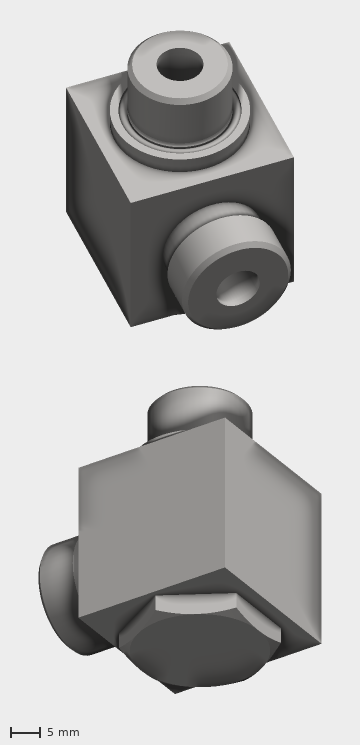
import cadquery as cq
import math

BODY_SIDE = 30.0
HALF_BODY = BODY_SIDE / 2

HEX_FLATS = 24.0
HEX_HEIGHT = 4.0
HEX_CHAMFER_ANGLE = 30.0

TOTAL_HEIGHT = 48.0
FLANGE_DIAMETER = 24.0
FLANGE_HEIGHT = 3.0
STUD_DIAMETER = 18.0
STUD_ROOT_DIAMETER = 16.2
STUD_CHAMFER = 0.8

GROOVE_DIAMETER = 21.0
GROOVE_INNER_DIAMETER = STUD_DIAMETER
SEAL_THICKNESS = (GROOVE_DIAMETER - GROOVE_INNER_DIAMETER) / 2

PORT_LENGTH = 12.0
PORT_NECK_DIAMETER = 18.15
PORT_NECK_LENGTH = 3.5
PORT_DIAMETER = 20.0
PORT_CHAMFER = 0.8

BORE_DIAMETER = 8.0

FLANGE_TOP = HALF_BODY + FLANGE_HEIGHT
STUD_TOP = TOTAL_HEIGHT - HEX_HEIGHT - HALF_BODY
PORT_END = HALF_BODY + PORT_LENGTH


def make_hex_head():
    """Hexagon with flats facing +X and -X and its lower corners chamfered by a cone."""
    corner_radius = HEX_FLATS / math.sqrt(3)
    prism = (
        cq.Workplane("XY", origin=(0, 0, -HALF_BODY))
        .polygon(6, 2 * corner_radius)
        .extrude(-HEX_HEIGHT)
        .rotate((0, 0, 0), (0, 0, 1), 30)
    )
    bottom = -HALF_BODY - HEX_HEIGHT
    flat_radius = HEX_FLATS / 2
    cone_rise = HEX_HEIGHT * math.tan(math.radians(90 - HEX_CHAMFER_ANGLE))
    cone = (
        cq.Workplane("XZ")
        .moveTo(0, bottom)
        .lineTo(flat_radius, bottom)
        .lineTo(flat_radius + cone_rise, -HALF_BODY)
        .lineTo(0, -HALF_BODY)
        .close()
        .revolve(360, (0, 0, 0), (0, 1, 0))
    )
    return prism.intersect(cone)


def make_stud():
    """Flange with a seal groove around the undercut, chamfered stud."""
    stud_radius = STUD_DIAMETER / 2
    root_radius = STUD_ROOT_DIAMETER / 2
    flange_radius = FLANGE_DIAMETER / 2
    groove_radius = GROOVE_DIAMETER / 2
    groove_inner_radius = GROOVE_INNER_DIAMETER / 2
    undercut_rise = stud_radius - root_radius
    groove_floor = FLANGE_TOP - SEAL_THICKNESS / 2
    return (
        cq.Workplane("XZ")
        .moveTo(0, HALF_BODY)
        .lineTo(flange_radius, HALF_BODY)
        .lineTo(flange_radius, FLANGE_TOP)
        .lineTo(groove_radius, FLANGE_TOP)
        .lineTo(groove_radius, groove_floor)
        .lineTo(groove_inner_radius, groove_floor)
        .lineTo(groove_inner_radius, FLANGE_TOP)
        .lineTo(root_radius, FLANGE_TOP)
        .lineTo(stud_radius, FLANGE_TOP + undercut_rise)
        .lineTo(stud_radius, STUD_TOP - STUD_CHAMFER)
        .lineTo(stud_radius - STUD_CHAMFER, STUD_TOP)
        .lineTo(0, STUD_TOP)
        .close()
        .revolve(360, (0, 0, 0), (0, 1, 0))
    )


def make_seal_ring():
    """Round-section ring that fills the groove width, rising just to the flange face."""
    section_radius = SEAL_THICKNESS / 2
    ring_radius = (GROOVE_DIAMETER + GROOVE_INNER_DIAMETER) / 4
    return (
        cq.Workplane("XZ")
        .center(ring_radius, FLANGE_TOP - section_radius)
        .circle(section_radius)
        .revolve(360, (-ring_radius, 0, 0), (-ring_radius, 1, 0))
    )


def make_port():
    """Necked side port with chamfers at both ends of its wide part."""
    neck_radius = PORT_NECK_DIAMETER / 2
    port_radius = PORT_DIAMETER / 2
    neck_end = HALF_BODY + PORT_NECK_LENGTH
    return (
        cq.Workplane("XY")
        .moveTo(HALF_BODY, 0)
        .lineTo(HALF_BODY, neck_radius)
        .lineTo(neck_end, neck_radius)
        .lineTo(neck_end + port_radius - neck_radius, port_radius)
        .lineTo(PORT_END - PORT_CHAMFER, port_radius)
        .lineTo(PORT_END, port_radius - PORT_CHAMFER)
        .lineTo(PORT_END, 0)
        .close()
        .revolve(360, (0, 0, 0), (1, 0, 0))
    )


def make_bore():
    """Elbow passage from the stud to the port, with a spherical corner."""
    radius = BORE_DIAMETER / 2
    down_leg = cq.Workplane("XY").circle(radius).extrude(STUD_TOP)
    side_leg = cq.Workplane("YZ").circle(radius).extrude(PORT_END)
    return down_leg.union(side_leg).union(cq.Workplane("XY").sphere(radius))


body = cq.Workplane("XY").box(BODY_SIDE, BODY_SIDE, BODY_SIDE)
result = (
    body.union(make_hex_head())
    .union(make_stud())
    .union(make_seal_ring())
    .union(make_port())
    .cut(make_bore())
)